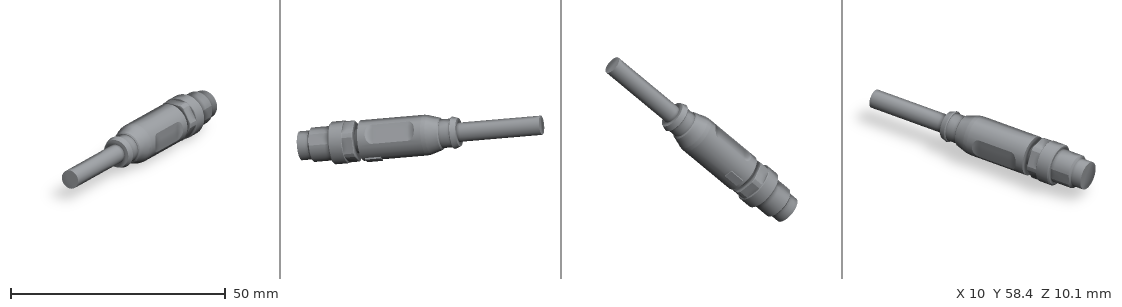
import cadquery as cq
import math

length = 58.4

tip_diameter = 6.8
tip_end = 2.55
sleeve_diameter = 8.05
sleeve_bevel_end = 3.05
sleeve_flat_distance = 3.8

ring_diameter = 10.0
ring_start = 7.8
ring_end = 11.3
ring_front_bevel = 0.3
ring_rear_bevel = 0.1
nut_end = 13.8
nut_across_flats = 8.9
nut_corner_diameter = 9.7
nut_edge_bevel = 0.1
neck_diameter = 5.8

body_diameter = 9.5
body_start = 15.0
blend_start = 30.3
blend_end = 31.35
taper_end = 34.05
taper_end_diameter = 7.6
taper_lip = 0.25
taper_lip_diameter = 7.0

relief_diameter = 6.7
collar_start = 36.85
collar_crest = 37.1
collar_end = 38.4
collar_diameter = 7.6
collar_front_bevel = 0.2
cable_diameter = 4.5

recess_floor_distance = 4.15
recess_floor_start = 18.5
recess_floor_end = 27.15
recess_end_radius = 2.5

marker_start = 15.8
marker_end = 19.7
marker_width = 2.05
marker_bottom = 5.05


def cylinder(diameter, start, end):
    """Cylinder on the Y axis between two distances behind the plug tip."""
    circle = cq.Workplane("XZ", origin=(0, -start, 0)).circle(diameter / 2)
    return circle.extrude(end - start)


def revolve_profile(profile):
    """Close an outline against the Y axis and turn it into a solid."""
    return profile.close().revolve(360, (0, 0, 0), (0, 1, 0))


def make_plug():
    tip = cylinder(tip_diameter, 0, tip_end)
    sleeve = revolve_profile(
        cq.Workplane("XY")
        .moveTo(0, -tip_end)
        .lineTo(tip_diameter / 2, -tip_end)
        .lineTo(sleeve_diameter / 2, -sleeve_bevel_end)
        .lineTo(sleeve_diameter / 2, -ring_start)
        .lineTo(0, -ring_start)
    )
    flat_limits = cq.Workplane("XY").box(2 * sleeve_flat_distance, 2 * length, 2 * sleeve_diameter)
    return tip.union(sleeve.intersect(flat_limits))


def make_ring():
    ring = cylinder(ring_diameter, ring_start, ring_end)
    ring = ring.faces(">Y").chamfer(ring_front_bevel)
    return ring.faces("<Y").chamfer(ring_rear_bevel)


def make_nut():
    hexagon = (
        cq.Workplane("XZ", origin=(0, -ring_end, 0))
        .polygon(6, nut_across_flats / math.cos(math.pi / 6))
        .extrude(nut_end - ring_end)
    )
    blank = cylinder(nut_corner_diameter, ring_end, nut_end)
    return hexagon.intersect(blank).faces("<Y").chamfer(nut_edge_bevel)


def make_body():
    radius = body_diameter / 2
    blend_length = blend_end - blend_start
    taper_run = taper_end - blend_end
    taper_drop = (body_diameter - taper_end_diameter) / 2
    taper_angle = math.atan(taper_drop / (taper_run + blend_length / 2))
    blend_radius = blend_length / math.sin(taper_angle)
    middle_angle = taper_angle / 2

    def blend_point(angle):
        drop = blend_radius * (1 - math.cos(angle))
        return radius - drop, -blend_start - blend_radius * math.sin(angle)

    return revolve_profile(
        cq.Workplane("XY")
        .moveTo(0, -body_start)
        .lineTo(radius, -body_start)
        .lineTo(radius, -blend_start)
        .threePointArc(blend_point(middle_angle), blend_point(taper_angle))
        .lineTo(taper_end_diameter / 2, -taper_end)
        .lineTo(taper_lip_diameter / 2, -taper_end - taper_lip)
        .lineTo(0, -taper_end - taper_lip)
    )


def make_recess(side):
    """Cutter for a flat-floored recess whose ends rise as tangent arcs."""
    outer = recess_floor_distance + recess_end_radius
    diagonal = recess_end_radius * math.sqrt(0.5)
    front = -recess_floor_start
    rear = -recess_floor_end
    return (
        cq.Workplane("XY", origin=(0, 0, -body_diameter / 2))
        .moveTo(side * outer, front + recess_end_radius)
        .threePointArc(
            (side * (outer - diagonal), front + diagonal),
            (side * recess_floor_distance, front),
        )
        .lineTo(side * recess_floor_distance, rear)
        .threePointArc(
            (side * (outer - diagonal), rear - diagonal),
            (side * outer, rear - recess_end_radius),
        )
        .close()
        .extrude(body_diameter)
    )


def make_strain_relief():
    relief = cylinder(relief_diameter, taper_end, collar_start)
    collar = revolve_profile(
        cq.Workplane("XY")
        .moveTo(0, -collar_start)
        .lineTo(collar_diameter / 2 - collar_front_bevel, -collar_start)
        .lineTo(collar_diameter / 2, -collar_crest)
        .lineTo(relief_diameter / 2, -collar_end)
        .lineTo(0, -collar_end)
    )
    return relief.union(collar)


def make_marker():
    return (
        cq.Workplane("XY", origin=(0, -(marker_start + marker_end) / 2, -marker_bottom))
        .rect(marker_width, marker_end - marker_start)
        .extrude(marker_bottom - neck_diameter / 2)
    )


body = make_body()
for side in (-1, 1):
    body = body.cut(make_recess(side))

result = (
    make_plug()
    .union(make_ring())
    .union(make_nut())
    .union(cylinder(neck_diameter, nut_end, body_start))
    .union(body)
    .union(make_marker())
    .union(make_strain_relief())
    .union(cylinder(cable_diameter, collar_end, length))
)